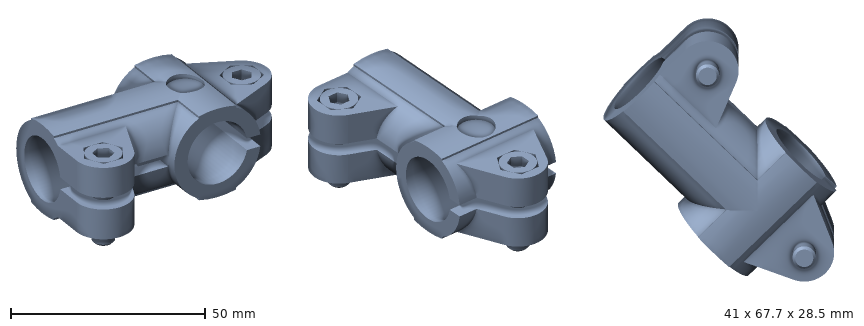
import cadquery as cq
import math

tube_radius = 13.0
bore_radius = 9.0
cross_length = 32.0
stem_length = 43.0
stem_bore_depth = 30.0

band_half_width = 5.6
band_edge_height = 12.3
band_crown_height = tube_radius

recess_diameter = 10.0
recess_floor_height = 11.5

lug_half_height = 10.5
slot_width = 3.45
screw_offset = 17.0
cross_lug_radius = 7.7
cross_lug_half_base = 12.75
stem_lug_radius = 8.0
stem_lug_base = 20.4
lug_base_offset = math.sqrt(tube_radius**2 - lug_half_height**2)

screw_diameter = 6.0
screw_tip_height = -15.5
screw_chamfer = 0.7
head_diameter = 9.9
head_height = 6.0
pocket_across_flats = 10.0
socket_across_flats = 5.0
socket_depth = 3.0
socket_turn = 30

stem_screw_y = stem_lug_radius - stem_length


def to_stem(shape):
    """Turn a clamp-frame shape so its lug points along +X beside the stem screw."""
    return shape.rotate((0, 0, 0), (0, 0, 1), -90).translate((0, stem_screw_y, 0))


def tube_body(length):
    """Solid tube blank with its raised bands, from the origin along +X."""
    body = cq.Workplane("YZ").circle(tube_radius).extrude(length)
    band = (
        cq.Workplane("YZ")
        .moveTo(-band_half_width, -band_edge_height)
        .threePointArc((0, -band_crown_height), (band_half_width, -band_edge_height))
        .lineTo(band_half_width, band_edge_height)
        .threePointArc((0, band_crown_height), (-band_half_width, band_edge_height))
        .close()
        .extrude(length)
    )
    return body.union(band)


def tangent_point(base_x, radius, side):
    """Point where a flank from the lug base touches the round end (side: 1 right, -1 left)."""
    dy = lug_base_offset - screw_offset
    spread = math.acos(radius / math.hypot(base_x, dy))
    angle = math.atan2(dy, base_x) + side * spread
    return radius * math.cos(angle), screw_offset + radius * math.sin(angle)


def lug(left_x, right_x, radius):
    """Lug with a round end about the screw and flanks tangent to it."""
    return (
        cq.Workplane("XY", origin=(0, 0, -lug_half_height))
        .moveTo(left_x, lug_base_offset)
        .lineTo(right_x, lug_base_offset)
        .lineTo(*tangent_point(right_x, radius, 1))
        .threePointArc((0, screw_offset + radius), tangent_point(left_x, radius, -1))
        .close()
        .extrude(2 * lug_half_height)
    )


def slot(start_x, length):
    """Clamping slot from the tube axis out past the lug."""
    reach = screw_offset + stem_lug_radius
    return cq.Workplane("XY", origin=(start_x, 0, 0)).box(
        length, reach, slot_width, centered=(False, False, True)
    )


def hexagon(across_flats, depth, turn=0):
    """Hexagonal prism sunk from the lug's top face at the screw."""
    return (
        cq.Workplane("XY", origin=(0, 0, lug_half_height - depth))
        .polygon(6, across_flats / math.cos(math.pi / 6))
        .extrude(depth)
        .rotate((0, 0, 0), (0, 0, 1), turn)
        .translate((0, screw_offset, 0))
    )


def screw():
    """Clamp screw with a hexagonal socket and a chamfered tip."""
    shank = (
        cq.Workplane("XY", origin=(0, screw_offset, screw_tip_height))
        .circle(screw_diameter / 2)
        .extrude(lug_half_height - screw_tip_height)
        .faces("<Z")
        .chamfer(screw_chamfer)
    )
    head = (
        cq.Workplane("XY", origin=(0, screw_offset, lug_half_height - head_height))
        .circle(head_diameter / 2)
        .extrude(head_height)
    )
    return shank.union(head).cut(hexagon(socket_across_flats, socket_depth, socket_turn))


cross_tube = tube_body(cross_length).translate((-cross_length / 2, 0, 0))
stem_tube = tube_body(stem_length).rotate((0, 0, 0), (0, 0, 1), -90)
cross_lug = lug(-cross_lug_half_base, cross_lug_half_base, cross_lug_radius)
stem_lug = to_stem(lug(stem_lug_radius - stem_lug_base, stem_lug_radius, stem_lug_radius))
body = cross_tube.union(stem_tube).union(cross_lug).union(stem_lug)

cross_bore = cq.Workplane("YZ").circle(bore_radius).extrude(cross_length / 2, both=True)
stem_bore = (
    cq.Workplane("XZ", origin=(0, stem_bore_depth - stem_length, 0))
    .circle(bore_radius)
    .extrude(stem_bore_depth)
)
body = body.cut(cross_bore).cut(stem_bore)

cross_slot = slot(-cross_length / 2, cross_length)
stem_slot = to_stem(slot(stem_lug_radius - stem_bore_depth, stem_bore_depth))
body = body.cut(cross_slot).cut(stem_slot)

recess = (
    cq.Workplane("XY", origin=(0, 0, recess_floor_height))
    .circle(recess_diameter / 2)
    .extrude(band_crown_height - recess_floor_height)
)
body = body.cut(recess)

pocket = hexagon(pocket_across_flats, head_height)
body = body.cut(pocket).cut(to_stem(pocket))
result = body.union(screw()).union(to_stem(screw()))